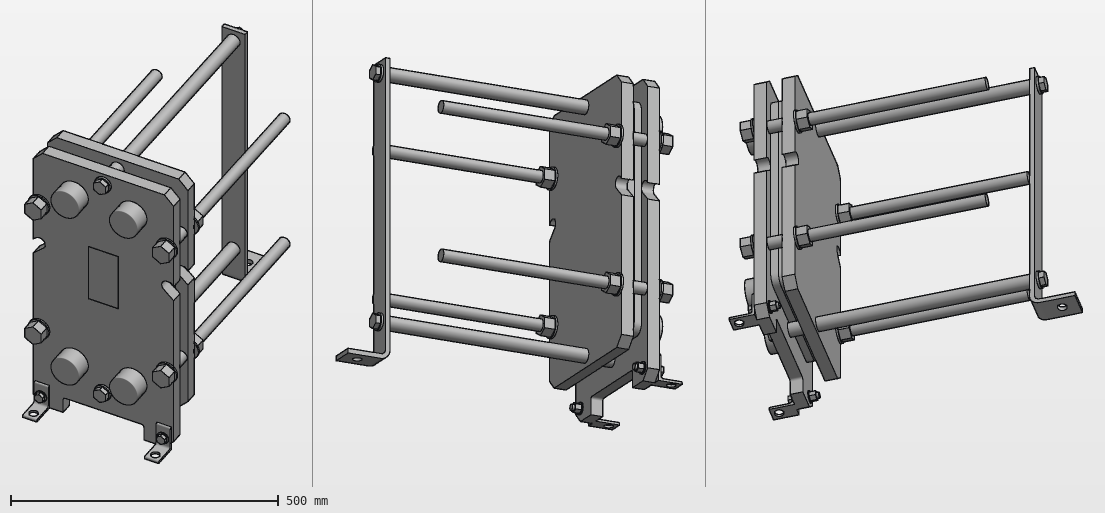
import cadquery as cq
import math


plate_width = 300.0
plate_top = 596.0
plate_thickness = 25.0
plate_chamfer = 20.0
center_height = 326.5
pack_thickness = 30.0
pressure_front = plate_thickness + pack_thickness
pressure_back = pressure_front + plate_thickness
pressure_height = 2 * (plate_top - center_height)

leg_gap_width = 172.0
leg_gap_height = 35.0
leg_gap_fillet = 5.0

notch_width = 24.0
notch_height = 381.5
notch_slope = 42

tie_diameter = 24.0
tie_end = 450.5
tie_x = 136.5
tie_z = 147.0
tie_flats = 36.0
tie_washer_diameter = 44.0
tie_washer_thickness = 4.0
tie_head_height = 22.0

bar_diameter = 28.0
bar_z = 245.5
bar_flats = 26.0
bar_washer_diameter = 34.0
bar_washer_thickness = 4.5
bar_head_height = 10.0

port_diameter = 60.5
port_length = 36.0
port_rim_fillet = 1.0
port_x = 62.5
port_z = 197.0

name_width = 64.0
name_height = 123.0
name_center_height = 351.5
name_thickness = 0.5

column_front = 500.0
column_end = 588.0
column_width = 50.0
column_thickness = 9.5
column_bend = 20.0
column_hole_diameter = 18.0
column_hole_y = 556.5

foot_x = 130.0
foot_width = 30.5
foot_length = 50.0
foot_height = 53.0
foot_thickness = 5.0
foot_inner_fillet = 5.0
foot_end_fillet = 3.0
foot_hole_diameter = 18.0
foot_hole_y = -34.5

foot_bolt_height = 25.5
foot_bolt_diameter = 12.0
foot_bolt_flats = 17.0
foot_washer_diameter = 24.0
foot_washer_thickness = 2.0
foot_head_height = 7.5
foot_nut_height = 12.0
foot_stud_length = 19.0

pack_clearance = 0.5
pack_width = 2 * (tie_x - tie_diameter / 2 - pack_clearance)
pack_height = 2 * (bar_z - bar_diameter / 2 - pack_clearance)
pack_corner = 20.5

tie_points = [(x, center_height + z) for x in (-tie_x, tie_x) for z in (-tie_z, tie_z)]
bar_points = [(0, center_height - bar_z), (0, center_height + bar_z)]
port_points = [(x, center_height + z) for x in (-port_x, port_x) for z in (-port_z, port_z)]


def rod(diameter, point, start, end):
    """Round rod along Y between two Y positions."""
    x, z = point
    solid = cq.Solid.makeCylinder(diameter / 2, end - start, cq.Vector(x, start, z), cq.Vector(0, 1, 0))
    return cq.Workplane(solid)


def block(width, height, point, start, end):
    """Rectangular block centred on an (x, z) point, between two Y positions."""
    x, z = point
    return cq.Workplane("XY").box(width, end - start, height).translate((x, (start + end) / 2, z))


def hexagon(flats, point, start, end):
    """Hexagonal prism along Y with a corner pointing up."""
    x, z = point
    prism = cq.Workplane("XZ").polygon(6, flats / math.cos(math.pi / 6)).extrude(start - end)
    return prism.rotate((0, 0, 0), (0, 1, 0), 90).translate((x, start, z))


def washer_and_head(point, face, direction, flats, head_height, washer_diameter, washer_thickness):
    """Washer on a face, with a hexagonal head on it; direction is +1 towards +Y, -1 towards -Y."""
    seat = face + direction * washer_thickness
    top = seat + direction * head_height
    washer = rod(washer_diameter, point, min(face, seat), max(face, seat))
    return washer.union(hexagon(flats, point, min(seat, top), max(seat, top)))


def edge_notches(start, end):
    """Cutters for the slanted, round-ended notches on both long edges."""
    reach = plate_width / 4
    slot = block(reach, notch_width, (-reach / 2, 0), start, end)
    slot = slot.rotate((0, 0, 0), (0, 1, 0), -notch_slope)
    slot = slot.union(rod(notch_width, (0, 0), start, end)).translate((-tie_x, 0, notch_height))
    return slot.union(slot.mirror("YZ"))


def chamfered_plate(height, start, end):
    """Plate hanging from plate_top, with chamfered corners and notched long edges."""
    plate = block(plate_width, height, (0, plate_top - height / 2), start, end)
    return plate.edges("|Y").chamfer(plate_chamfer).cut(edge_notches(start, end))


def frame_plate():
    gap = block(leg_gap_width, 2 * leg_gap_height, (0, 0), 0, plate_thickness)
    gap = gap.edges("|Y and >Z").fillet(leg_gap_fillet)
    name = block(name_width, name_height, (0, name_center_height), -name_thickness, 0)
    return chamfered_plate(plate_top, 0, plate_thickness).cut(gap).union(name)


def port(point):
    return rod(port_diameter, point, -port_length, 0).faces("<Y").edges().fillet(port_rim_fillet)


def tie_bolt(point):
    head_sizes = (tie_flats, tie_head_height, tie_washer_diameter, tie_washer_thickness)
    bolt = rod(tie_diameter, point, 0, tie_end)
    bolt = bolt.union(washer_and_head(point, 0, -1, *head_sizes))
    return bolt.union(washer_and_head(point, pressure_back, 1, *head_sizes))


def carrying_bar(point):
    head_sizes = (bar_flats, bar_head_height, bar_washer_diameter, bar_washer_thickness)
    bar = rod(bar_diameter, point, 0, column_front)
    bar = bar.union(washer_and_head(point, 0, -1, *head_sizes))
    return bar.union(washer_and_head(point, column_front + column_thickness, 1, *head_sizes))


def support_column():
    column_back = column_front + column_thickness
    profile = [
        (column_front, plate_top),
        (column_front, 0),
        (column_end, 0),
        (column_end, column_thickness),
        (column_back, column_thickness),
        (column_back, plate_top),
    ]
    column = cq.Workplane("YZ").polyline(profile).close().extrude(column_width / 2, both=True)
    column = column.edges(cq.selectors.NearestToPointSelector((0, column_front, 0))).fillet(column_bend)
    inner_corner = cq.selectors.NearestToPointSelector((0, column_back, column_thickness))
    column = column.edges(inner_corner).fillet(column_bend - column_thickness)
    hole = cq.Workplane("XY").center(0, column_hole_y).circle(column_hole_diameter / 2)
    return column.cut(hole.extrude(column_thickness))


def floor_bracket(x):
    """L-shaped bracket on the frame plate's front, with its bolt, washers and nut."""
    profile = [
        (0, 0),
        (-foot_length, 0),
        (-foot_length, foot_thickness),
        (-foot_thickness, foot_thickness),
        (-foot_thickness, foot_height),
        (0, foot_height),
    ]
    bracket = cq.Workplane("YZ").polyline(profile).close().extrude(foot_width / 2, both=True)
    inner_corner = cq.selectors.NearestToPointSelector((0, -foot_thickness, foot_thickness))
    bracket = bracket.edges(inner_corner).fillet(foot_inner_fillet)
    for end_corner in [(0, -foot_length, foot_thickness), (0, -foot_thickness, foot_height)]:
        bracket = bracket.edges(cq.selectors.NearestToPointSelector(end_corner)).fillet(foot_end_fillet)
    hole = cq.Workplane("XY").center(0, foot_hole_y).circle(foot_hole_diameter / 2)
    bracket = bracket.cut(hole.extrude(foot_thickness))

    point = (0, foot_bolt_height)
    washer_sizes = (foot_washer_diameter, foot_washer_thickness)
    head = washer_and_head(point, -foot_thickness, -1, foot_bolt_flats, foot_head_height, *washer_sizes)
    nut = washer_and_head(point, plate_thickness, 1, foot_bolt_flats, foot_nut_height, *washer_sizes)
    stud = rod(foot_bolt_diameter, point, -foot_thickness, plate_thickness + foot_stud_length)
    return bracket.union(head).union(nut).union(stud).translate((x, 0, 0))


def make_frame():
    """Frame plate with its ports, bolts, bars, column and floor brackets."""
    body = frame_plate()
    for point in port_points:
        body = body.union(port(point))
    for point in tie_points:
        body = body.union(tie_bolt(point))
    body = body.union(support_column())
    for point in bar_points:
        body = body.union(carrying_bar(point))
    for x in (-foot_x, foot_x):
        body = body.union(floor_bracket(x))
    return body


def make_pressure_plate():
    """Sliding plate with a close hole for every bolt and bar."""
    plate = chamfered_plate(pressure_height, pressure_front, pressure_back)
    for point in tie_points:
        plate = plate.cut(rod(tie_diameter, point, pressure_front, pressure_back))
    for point in bar_points:
        plate = plate.cut(rod(bar_diameter, point, pressure_front, pressure_back))
    return plate


def make_pack_half(start):
    """One half of the plate pack, a round-cornered slab."""
    slab = block(pack_width, pack_height, (0, center_height), start, start + pack_thickness / 2)
    return slab.edges("|Y").fillet(pack_corner)


frame = make_frame()
pressure_plate = make_pressure_plate()
pack_halves = [make_pack_half(plate_thickness + i * pack_thickness / 2) for i in range(2)]

bodies = [frame, pressure_plate, *pack_halves]
result = cq.Compound.makeCompound([body.solids().val() for body in bodies])